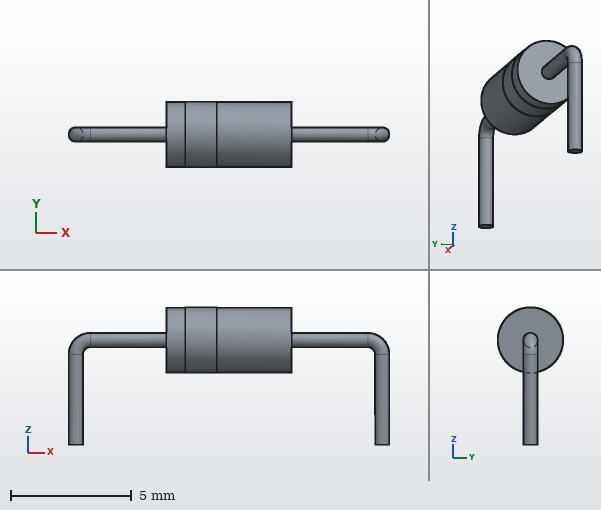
import cadquery as cq

overall_length = 13.3
overall_height = 5.7

body_length = 5.2
body_diameter = 2.7
band_diameter = 2.73
band_offset = 0.78
band_width = 1.3

wire_diameter = 0.6
bend_radius = 0.6

leg_x = (overall_length - wire_diameter) / 2
bend_start_x = leg_x - bend_radius
leg_bottom_z = band_diameter / 2 - overall_height
leg_length = -bend_radius - leg_bottom_z


def cylinder_along_x(start_x, length, diameter):
    return cq.Workplane("YZ", origin=(start_x, 0, 0)).circle(diameter / 2).extrude(length)


def bent_end(side):
    """Quarter-circle elbow and straight leg at the side (-1 or +1) end."""
    elbow = (
        cq.Workplane("YZ", origin=(side * bend_start_x, 0, 0))
        .circle(wire_diameter / 2)
        .revolve(90, (0, -bend_radius), (side, -bend_radius))
    )
    leg = (
        cq.Workplane("XY", origin=(side * leg_x, 0, leg_bottom_z))
        .circle(wire_diameter / 2)
        .extrude(leg_length)
    )
    return elbow.union(leg)


body = cylinder_along_x(-body_length / 2, body_length, body_diameter)
band = cylinder_along_x(-body_length / 2 + band_offset, band_width, band_diameter)
straight_wire = cylinder_along_x(-bend_start_x, 2 * bend_start_x, wire_diameter)

result = body.union(band).union(straight_wire)
for side in (-1, 1):
    result = result.union(bent_end(side))